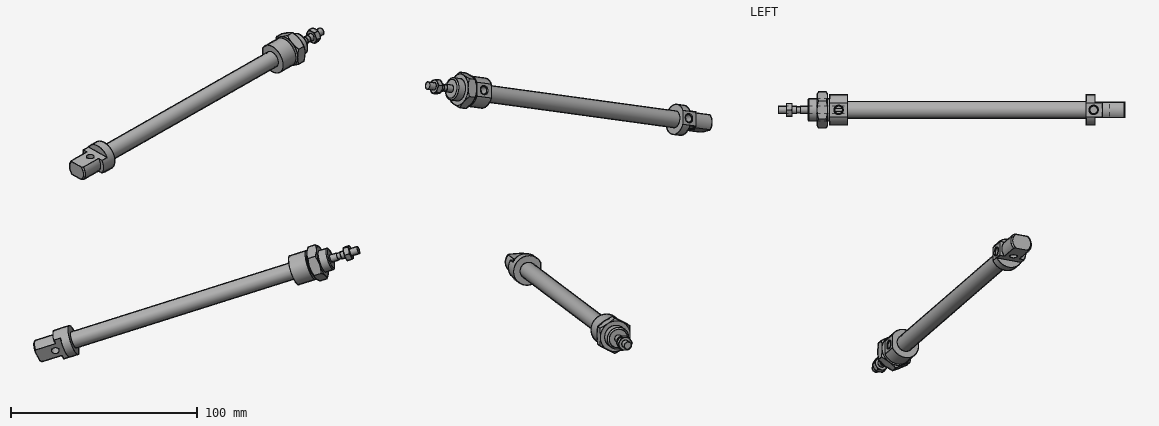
import cadquery as cq
import math

overall_length = 186.0
tang_hole_y = 10.5
rear_slab_y = 12.3
rear_cap_back_y = 16.2
rear_port_y = 17.0
rear_cap_front_y = 21.0
front_cap_back_y = 148.8
front_cap_front_y = 158.5
front_port_y = (front_cap_back_y + front_cap_front_y) / 2
mounting_nut_y = 159.5
thread_end_y = 170.2
rod_groove_y = 174.1
rod_nut_y = 178.5

cap_diameter = 16.4
tube_diameter = 9.1
thread_diameter = 12.0
thread_chamfer_length = 1.0
thread_chamfer_depth = 0.5
tang_thickness = 8.2
tang_chamfer = 0.7
tang_hole_diameter = 4.0
port_flat_x = -7.3
port_mouth_diameter = 5.0
port_diameter = 4.0
port_bevel_depth = (port_mouth_diameter - port_diameter) / 2
port_floor_x = -1.9

rod_diameter = 4.0
rod_groove_diameter = 3.5
rod_groove_width = 2.0

mounting_nut_flats = 17.0
mounting_nut_width = 5.5
rod_nut_flats = 7.0
rod_nut_width = 3.2
nut_bevel_angle = 30.0


def cylinder_y(diameter, start, end):
    """Round bar on the Y axis between two lengthwise positions."""
    return cq.Workplane("XZ", origin=(0, start, 0)).circle(diameter / 2).extrude(start - end)


def port(y):
    """Blind port with a bevelled mouth in the flat of a cap; at the front it bares a strip of the rod."""
    return (
        cq.Workplane("XY")
        .moveTo(port_flat_x, y)
        .lineTo(port_flat_x, y + port_mouth_diameter / 2)
        .lineTo(port_flat_x + port_bevel_depth, y + port_diameter / 2)
        .lineTo(port_floor_x, y + port_diameter / 2)
        .lineTo(port_floor_x, y)
        .close()
        .revolve(360, (port_flat_x, y, 0), (port_floor_x, y, 0))
    )


def make_tang():
    """Flat-sided tang with a chamfered round end and a slab that carries the cap outline."""
    tang = cylinder_y(thread_diameter, 0, rear_cap_back_y).faces("<Y").chamfer(tang_chamfer)
    tang = tang.union(cylinder_y(cap_diameter, rear_slab_y, rear_cap_back_y))
    slab = cq.Workplane("XY").box(cap_diameter, 2 * rear_cap_back_y, tang_thickness)
    tang = tang.intersect(slab)
    hole = (
        cq.Workplane("XY", origin=(0, tang_hole_y, -tang_thickness / 2))
        .circle(tang_hole_diameter / 2)
        .extrude(tang_thickness)
    )
    return tang.cut(hole)


def make_threaded_nose():
    """Mounting thread with a chamfered front end."""
    nose = cylinder_y(thread_diameter, front_cap_front_y, thread_end_y)
    return nose.faces(">Y").chamfer(thread_chamfer_depth, thread_chamfer_length)


def make_housing(rod):
    """Tube, both caps, tang and threaded nose in one solid, bored for the rod."""
    body = cylinder_y(tube_diameter, rear_cap_front_y, front_cap_back_y)
    body = body.union(cylinder_y(cap_diameter, rear_cap_back_y, rear_cap_front_y))
    body = body.union(cylinder_y(cap_diameter, front_cap_back_y, front_cap_front_y))
    body = body.union(make_tang())
    body = body.union(make_threaded_nose())
    kept_block = cq.Workplane("XY").box(
        cap_diameter, overall_length, cap_diameter, centered=(False, False, True)
    )
    body = body.intersect(kept_block.translate((port_flat_x, 0, 0)))
    for y in (rear_port_y, front_port_y):
        body = body.cut(port(y))
    return body.cut(rod)


def make_rod():
    """Piston rod with a narrow groove behind its threaded tip."""
    rod = cylinder_y(rod_diameter, front_cap_back_y, overall_length)
    groove_end_y = rod_groove_y + rod_groove_width
    groove = cylinder_y(rod_diameter, rod_groove_y, groove_end_y)
    groove = groove.cut(cylinder_y(rod_groove_diameter, rod_groove_y, groove_end_y))
    return rod.cut(groove)


def make_nut(flats, width, bore, start, turn):
    """Hexagon nut with both ends of its corners bevelled; at zero turn its corners lie on X."""
    corners = flats / math.cos(math.radians(30))
    bevel_depth = (corners - flats) / 2
    bevel_length = bevel_depth * math.tan(math.radians(nut_bevel_angle))
    hexagon = (
        cq.Workplane("XZ", origin=(0, start, 0))
        .polygon(6, corners)
        .extrude(-width)
        .rotate((0, 0, 0), (0, 1, 0), turn)
    )
    bevelled_bar = (
        cq.Workplane("XY")
        .moveTo(0, start)
        .lineTo(flats / 2, start)
        .lineTo(corners / 2, start + bevel_length)
        .lineTo(corners / 2, start + width - bevel_length)
        .lineTo(flats / 2, start + width)
        .lineTo(0, start + width)
        .close()
        .revolve(360, (0, 0, 0), (0, 1, 0))
    )
    return hexagon.intersect(bevelled_bar).cut(cylinder_y(bore, start, start + width))


rod = make_rod()
housing = make_housing(rod)
mounting_nut = make_nut(mounting_nut_flats, mounting_nut_width, thread_diameter, mounting_nut_y, 30)
rod_nut = make_nut(rod_nut_flats, rod_nut_width, rod_diameter, rod_nut_y, 0)

result = cq.Compound.makeCompound([housing.val(), rod.val(), mounting_nut.val(), rod_nut.val()])